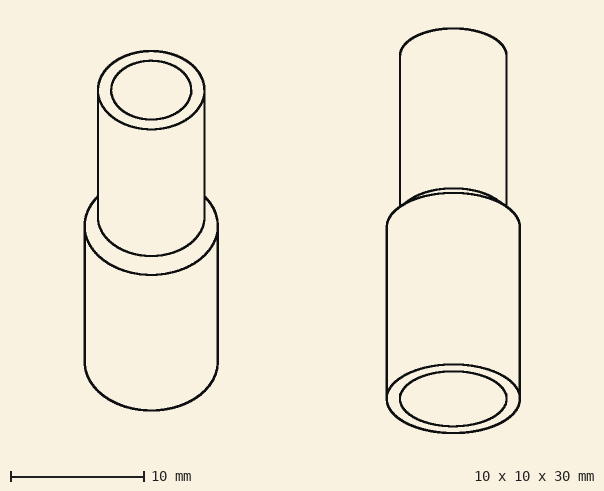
import cadquery as cq

total_length = 30.0
wide_length = total_length / 2
wide_radius = total_length / 6
wall = wide_radius / 5

narrow_radius = wide_radius - wall
bore_radius = narrow_radius - wall
socket_radius = narrow_radius
socket_depth = wide_length

shoulder_height = wide_radius - narrow_radius
shoulder_top = wide_length + shoulder_height

wall_section = [
    (socket_radius, 0),
    (wide_radius, 0),
    (wide_radius, wide_length),
    (narrow_radius, shoulder_top),
    (narrow_radius, total_length),
    (bore_radius, total_length),
    (bore_radius, socket_depth),
    (socket_radius, socket_depth),
]

result = (
    cq.Workplane("XZ")
    .polyline(wall_section)
    .close()
    .revolve(360, (0, 0, 0), (0, 1, 0))
)